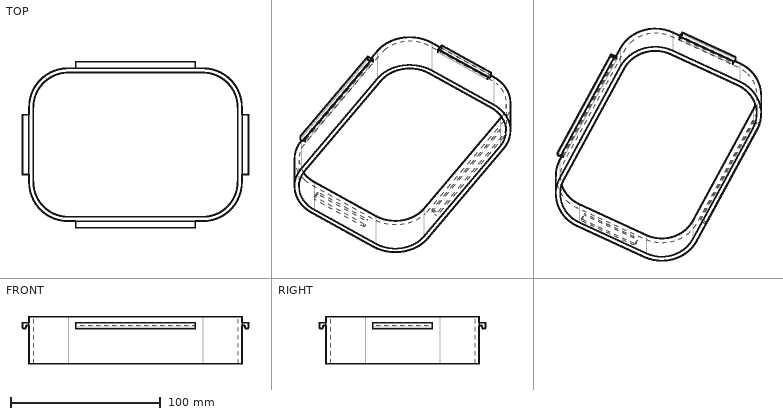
import cadquery as cq

overall_length = 151.0
overall_width = 111.0
wall_height = 31.5

wall_thickness = 3.0
corner_radius = 26.1

rail_reach = 4.4
rail_drop = 4.1
rail_thickness = 1.8
hook_height = 4.1
hook_tip_radius = 1.2
long_rail_length = 80.0
short_rail_length = 40.0

wall_length = overall_length - 2 * rail_reach
wall_width = overall_width - 2 * rail_reach
rail_top = wall_height - rail_drop


def rounded_block(length, width, radius):
    block = cq.Workplane("XY").rect(length, width).extrude(wall_height)
    return block.edges("|Z").fillet(radius)


def make_wall():
    outside = rounded_block(wall_length, wall_width, corner_radius)
    inside = rounded_block(
        wall_length - 2 * wall_thickness,
        wall_width - 2 * wall_thickness,
        corner_radius - wall_thickness,
    )
    return outside.cut(inside)


def make_rail(length, wall_distance, angle):
    """Hooked rail on the +X side, then turned about Z to its own side."""
    embed = wall_thickness / 2
    hook_inner_reach = rail_reach - 2 * hook_tip_radius
    arch_radius = hook_inner_reach / 2
    tip_spring = hook_tip_radius - hook_height
    arch_spring = -rail_thickness - arch_radius
    profile = (
        cq.Workplane("XZ")
        .moveTo(-embed, 0)
        .lineTo(rail_reach, 0)
        .lineTo(rail_reach, tip_spring)
        .threePointArc((rail_reach - hook_tip_radius, -hook_height), (hook_inner_reach, tip_spring))
        .lineTo(hook_inner_reach, arch_spring)
        .threePointArc((arch_radius, -rail_thickness), (0, arch_spring))
        .lineTo(-embed, arch_spring)
        .close()
    )
    rail = profile.extrude(length / 2, both=True)
    rail = rail.translate((wall_distance, 0, rail_top))
    return rail.rotate((0, 0, 0), (0, 0, 1), angle)


result = make_wall()
for angle in (0, 180):
    result = result.union(make_rail(short_rail_length, wall_length / 2, angle))
    result = result.union(make_rail(long_rail_length, wall_width / 2, angle + 90))